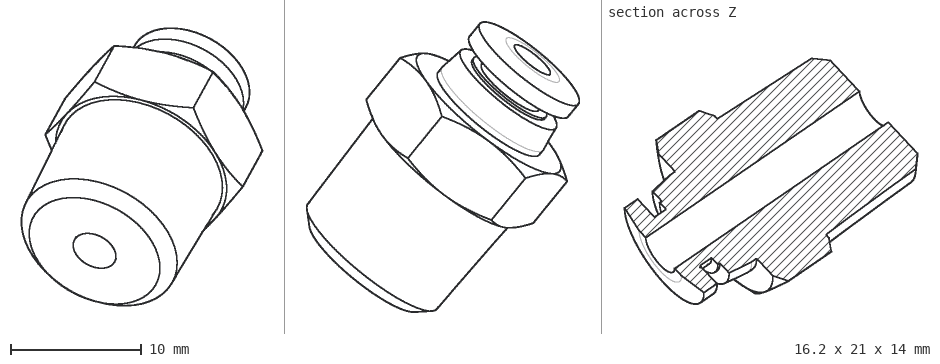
import cadquery as cq
import math

total_length = 20.95
thread_chamfer_length = 1.0
shank_length = 10.0
hex_length = 5.5
collar_band_length = 0.5
collar_taper_length = 1.95
ring_length = 0.2
button_rim_length = 1.3
button_crown_length = 0.4

hex_start = shank_length
hex_end = hex_start + hex_length
collar_band_end = hex_end + collar_band_length
collar_end = collar_band_end + collar_taper_length
ring_end = collar_end + ring_length
button_rim_end = total_length - button_crown_length
button_start = button_rim_end - button_rim_length

bore_radius = 1.75
thread_tip_radius = 5.35
thread_small_radius = 6.375
thread_large_radius = 6.66
collar_radius = 5.0
collar_small_radius = 4.7
ring_radius = 3.57
neck_radius = 2.8
button_radius = 4.87
button_face_radius = 2.6

across_flats = 14.0
inscribed_radius = across_flats / 2
corner_radius = inscribed_radius / math.cos(math.pi / 6)
hex_chamfer_angle = math.radians(30)
hex_chamfer_length = (corner_radius - inscribed_radius) * math.tan(hex_chamfer_angle)


def revolve_profile(points):
    """Revolve a closed (radius, station) outline about the Y axis."""
    outline = cq.Workplane("XY").polyline(points).close()
    return outline.revolve(360, (0, 0, 0), (0, 1, 0))


def threaded_shank():
    """Tapered shank, widening toward the hexagon, with a chamfered tip."""
    return revolve_profile([
        (0, 0),
        (thread_tip_radius, 0),
        (thread_small_radius, thread_chamfer_length),
        (thread_large_radius, hex_start),
        (0, hex_start),
    ])


def hexagon():
    """Hexagonal prism with corners on the X axis, turned down at both ends."""
    prism = (
        cq.Workplane("XZ", origin=(0, hex_start, 0))
        .polygon(6, 2 * corner_radius)
        .extrude(-hex_length)
    )
    turned_envelope = revolve_profile([
        (0, hex_start),
        (inscribed_radius, hex_start),
        (corner_radius, hex_start + hex_chamfer_length),
        (corner_radius, hex_end - hex_chamfer_length),
        (inscribed_radius, hex_end),
        (0, hex_end),
    ])
    return prism.intersect(turned_envelope)


def collar_and_button():
    """Tapered collar, its inner ring, the neck and the release button."""
    return revolve_profile([
        (0, hex_end),
        (collar_radius, hex_end),
        (collar_radius, collar_band_end),
        (collar_small_radius, collar_end),
        (ring_radius, collar_end),
        (ring_radius, ring_end),
        (neck_radius, ring_end),
        (neck_radius, button_start),
        (button_radius, button_start),
        (button_radius, button_rim_end),
        (button_face_radius, total_length),
        (0, total_length),
    ])


def through_bore():
    """Plain bore along the whole axis."""
    return cq.Workplane("XZ").circle(bore_radius).extrude(-total_length)


body = threaded_shank().union(hexagon()).union(collar_and_button())
result = body.cut(through_bore())